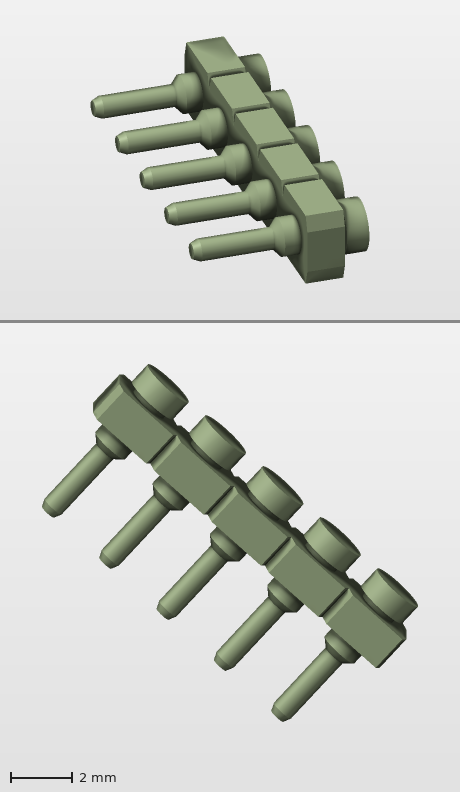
import cadquery as cq

contact_count = 5
pitch = 2.54
strip_length = contact_count * pitch
strip_height = pitch
strip_depth = 1.3
bevel_width = 0.18
bevel_height = 0.53

head_diameter = 1.83
collar_diameter = 1.32
pin_diameter = 0.76
tip_diameter = 0.53
overall_depth = 5.84
head_length = 0.76
head_gap = 0.2
collar_projection = 0.56
cone_length = 0.25
tip_length = 0.25

strip_back = strip_depth / 2
strip_front = -strip_depth / 2
head_front = strip_back + head_gap
head_back = head_front + head_length
collar_end = strip_front - collar_projection
cone_end = collar_end - cone_length
tip_end = head_back - overall_depth
tip_start = tip_end + tip_length

contact_positions = [(i - (contact_count - 1) / 2) * pitch for i in range(contact_count)]


def make_bevel_cutter(x):
    """V-shaped groove pair, cut into the top and bottom faces on a cell boundary."""
    cutter = cq.Workplane("XZ")
    for side in (1, -1):
        face_z = side * strip_height / 2
        cutter = cutter.polyline([
            (x - bevel_width, face_z),
            (x, face_z - side * bevel_height),
            (x + bevel_width, face_z),
        ]).close()
    return cutter.extrude(strip_depth / 2, both=True)


def make_strip():
    """Insulating strip with V grooves between cells, bevelled ends and contact holes."""
    strip = cq.Workplane("XY").box(strip_length, strip_depth, strip_height)
    for boundary in range(contact_count + 1):
        strip = strip.cut(make_bevel_cutter(boundary * pitch - strip_length / 2))
    holes = (
        cq.Workplane("XZ")
        .pushPoints([(x, 0) for x in contact_positions])
        .circle(collar_diameter / 2)
        .extrude(strip_depth / 2, both=True)
    )
    return strip.cut(holes)


def make_contact(x):
    """Turned contact: head, collar filling the strip hole, cone, pin and tapered tip."""
    half_profile = [
        (0, head_back),
        (head_diameter / 2, head_back),
        (head_diameter / 2, head_front),
        (collar_diameter / 2, head_front),
        (collar_diameter / 2, collar_end),
        (pin_diameter / 2, cone_end),
        (pin_diameter / 2, tip_start),
        (tip_diameter / 2, tip_end),
        (0, tip_end),
    ]
    contact = cq.Workplane("XY").polyline(half_profile).close().revolve(360, (0, 0, 0), (0, 1, 0))
    return contact.translate((x, 0, 0))


strip = make_strip()
contacts = [make_contact(x) for x in contact_positions]

result = cq.Compound.makeCompound([strip.val(), *[contact.val() for contact in contacts]])